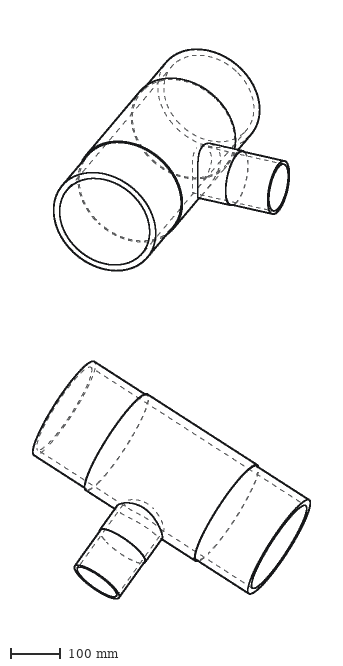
import cadquery as cq


main_length = 524.0
main_bore_diameter = 198.2
main_spigot_diameter = 225.0
main_body_diameter = 230.36
main_spigot_length = 128.0
main_body_length = main_length - 2 * main_spigot_length

branch_reach = 268.0
branch_bore_diameter = 96.8
branch_spigot_diameter = 110.0
branch_body_diameter = 112.64
branch_spigot_length = 92.0
branch_body_reach = branch_reach - branch_spigot_length


def main_cylinder(diameter, length):
    """Cylinder along Y, centred on the origin."""
    return cq.Workplane("XZ").circle(diameter / 2).extrude(length / 2, both=True)


def branch_cylinder(diameter, reach):
    """Cylinder along +X, starting on the main axis."""
    return cq.Workplane("YZ").circle(diameter / 2).extrude(reach)


main_run = main_cylinder(main_spigot_diameter, main_length).union(
    main_cylinder(main_body_diameter, main_body_length)
)

branch = branch_cylinder(branch_spigot_diameter, branch_reach).union(
    branch_cylinder(branch_body_diameter, branch_body_reach)
)

main_bore = main_cylinder(main_bore_diameter, main_length)
branch_bore = branch_cylinder(branch_bore_diameter, branch_reach)

result = main_run.union(branch).cut(main_bore).cut(branch_bore)